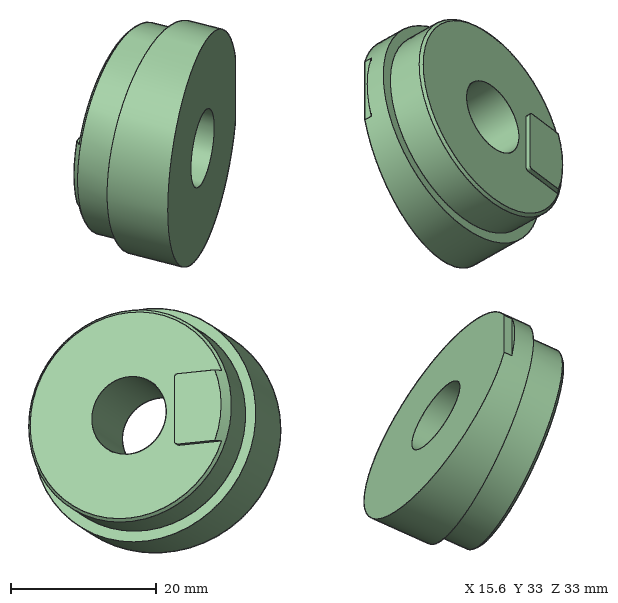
import cadquery as cq

flange_diameter = 33.0
flange_radius = flange_diameter / 2
flange_long_side = 9.25
slant_at_notch = 4.1

notch_y = 15.65
notch_floor_x = 2.9

spigot_radius = 30.0 / 2
spigot_length = 5.6
chamfer = 0.4
bore_diameter = 11.0

key_height = 0.7
key_width = 10.0
key_inner_y = -7.0
key_corner_radius = 0.5

face_x = -spigot_length
key_face_x = face_x - key_height


def make_flange():
    disc = cq.Workplane("YZ").circle(flange_radius).extrude(flange_long_side)
    profile = (
        cq.Workplane("XY")
        .moveTo(0, -flange_radius)
        .lineTo(flange_long_side, -flange_radius)
        .lineTo(slant_at_notch, notch_y)
        .lineTo(notch_floor_x, notch_y)
        .lineTo(notch_floor_x, flange_radius)
        .lineTo(0, flange_radius)
        .close()
        .extrude(flange_radius, both=True)
    )
    return disc.intersect(profile)


def make_spigot(front_x, front_chamfer):
    return (
        cq.Workplane("YZ")
        .circle(spigot_radius)
        .extrude(front_x)
        .faces("<X")
        .chamfer(front_chamfer)
    )


def make_key():
    key_length = spigot_radius + key_inner_y
    block = (
        cq.Workplane("YZ", origin=(face_x, 0, 0))
        .center(key_inner_y - key_length / 2, 0)
        .rect(key_length, key_width)
        .extrude(-key_height)
        .edges("|X and >Y")
        .fillet(key_corner_radius)
    )
    return block.intersect(make_spigot(key_face_x, chamfer + key_height))


def make_bore():
    total_length = flange_long_side - key_face_x
    return (
        cq.Workplane("YZ", origin=(key_face_x, 0, 0))
        .circle(bore_diameter / 2)
        .extrude(total_length)
    )


body = make_flange().union(make_spigot(face_x, chamfer))
result = body.union(make_key()).cut(make_bore())